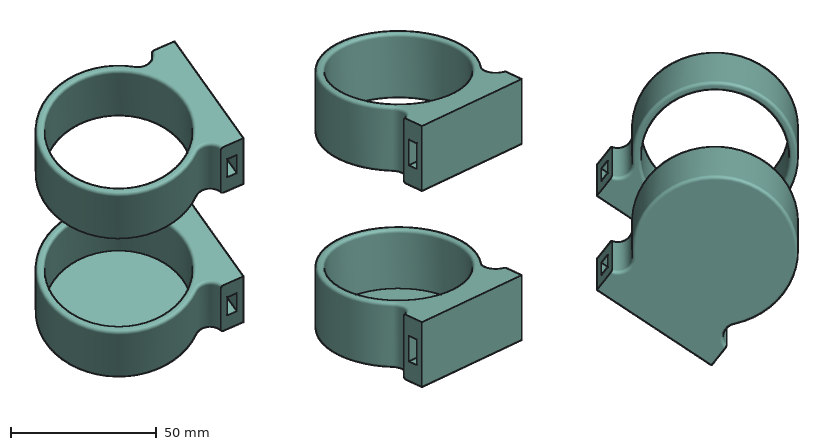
import cadquery as cq
import math

height = 25.2
level_spacing = 76.2
bore_radius = 50.8 / 2
outer_radius = 57.1 / 2
edge_rounding = 1.2
selection_margin = 0.1

block_width = 48.7
overall_depth = 64.1
block_thickness = 8.9
back_y = overall_depth - outer_radius
block_front_y = back_y - block_thickness

neck_radius = 5.0

pocket_width = 3.8
pocket_height = 9.9
pocket_depth = 10.1
pocket_back_wall = 2.6

floor_thickness = 2.5


def neck_center():
    """Center of the right neck arc, found from its distances to the ring axis and the block corner."""
    corner_x = block_width / 2
    corner_distance = math.hypot(corner_x, block_front_y)
    axis_distance = outer_radius + neck_radius
    along = (axis_distance**2 - neck_radius**2 + corner_distance**2) / (2 * corner_distance)
    across = math.sqrt(axis_distance**2 - along**2)
    x = (along * corner_x + across * block_front_y) / corner_distance
    y = (along * block_front_y - across * corner_x) / corner_distance
    return x, y


def make_blank():
    """Solid outline of ring, necks and block, with the curved edges rounded."""
    corner_x = block_width / 2
    center_x, center_y = neck_center()
    tangent_scale = outer_radius / (outer_radius + neck_radius)
    tangent_x = center_x * tangent_scale
    tangent_y = center_y * tangent_scale
    neck_x = center_x - neck_radius
    blank = (
        cq.Workplane("XY")
        .moveTo(-corner_x, back_y)
        .lineTo(corner_x, back_y)
        .lineTo(corner_x, block_front_y)
        .threePointArc((neck_x, center_y), (tangent_x, tangent_y))
        .threePointArc((0, -outer_radius), (-tangent_x, tangent_y))
        .threePointArc((-neck_x, center_y), (-corner_x, block_front_y))
        .close()
        .extrude(height)
    )
    return blank.faces("<Z or >Z").edges("%CIRCLE").fillet(edge_rounding)


def cut_end_pockets(body):
    pocket_y = back_y - pocket_back_wall - pocket_width / 2
    for side in (-1, 1):
        pocket_x = side * (block_width - pocket_depth) / 2
        pocket = cq.Workplane("XY").box(pocket_depth, pocket_width, pocket_height)
        body = body.cut(pocket.translate((pocket_x, pocket_y, height / 2)))
    return body


def cut_bore(body, bottom_z):
    bore = cq.Workplane("XY").workplane(offset=bottom_z).circle(bore_radius).extrude(height - bottom_z)
    return body.cut(bore)


def round_bore_rim(body, rim_z):
    """Round the bore edge lying in the horizontal plane at rim_z."""
    reach = bore_radius + selection_margin
    rim = cq.selectors.BoxSelector(
        (-reach, -reach, rim_z - selection_margin),
        (reach, reach, rim_z + selection_margin),
        boundingbox=True,
    )
    return body.edges(rim).fillet(edge_rounding)


def make_closed_holder():
    """Lower body: a cup with a floor."""
    holder = cut_bore(cut_end_pockets(make_blank()), floor_thickness)
    return round_bore_rim(holder, height)


def make_open_holder():
    """Upper body: a ring open at both ends."""
    holder = cut_bore(cut_end_pockets(make_blank()), 0)
    holder = round_bore_rim(holder, height)
    holder = round_bore_rim(holder, 0)
    return holder.translate((0, 0, level_spacing))


closed_holder = make_closed_holder()
open_holder = make_open_holder()

result = cq.Compound.makeCompound([closed_holder.val(), open_holder.val()])